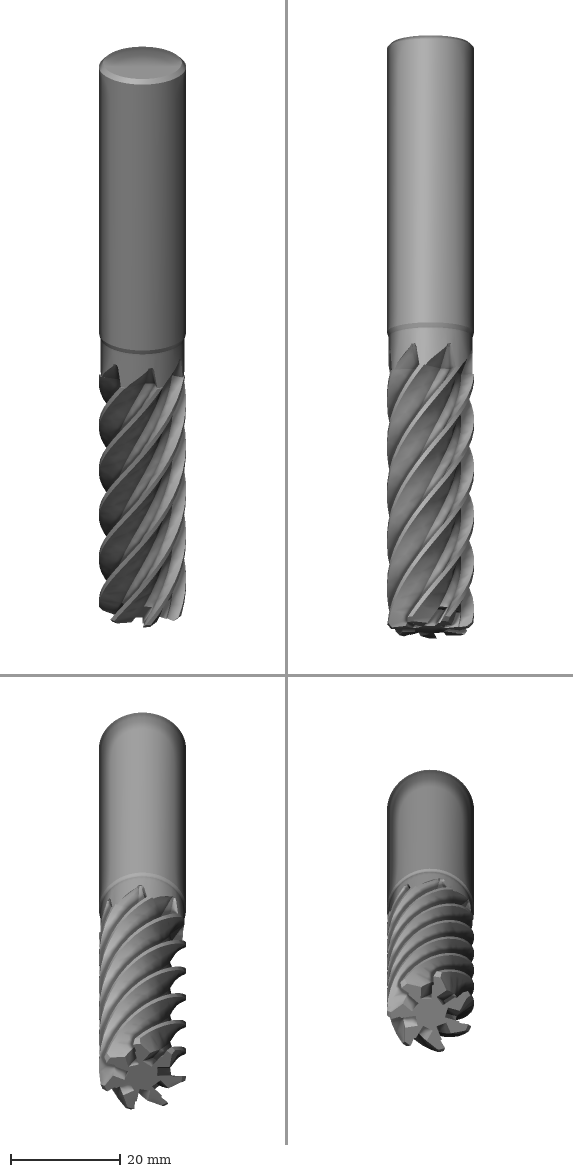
import cadquery as cq
import math

TOTAL_LENGTH = 110.0
DIAMETER = 16.0
RADIUS = DIAMETER / 2

SHANK_CHAMFER = 0.8
NECK_DIAMETER = 15.4
NECK_RADIUS = NECK_DIAMETER / 2
NECK_TOP = 55.0
NECK_CONE_HEIGHT = 0.9

CUTTER_LENGTH = 48.0
TOOTH_COUNT = 7
TOOTH_PITCH = 360 / TOOTH_COUNT
HELIX_LEAD = 62.2
TWIST_PER_LENGTH = 360 / HELIX_LEAD
FIRST_EDGE_ANGLE = 28.5
CORNER_CHAMFER = 0.8

LAND_ANGLE = 7.0
CORE_RADIUS = 5.1
CORE_ANGLE = 15.0
RAKE_RADIUS = 5.6
RAKE_ANGLE = -3.0

RUNOUT_LENGTH = 4.2
RUNOUT_TIP_LENGTH = 0.5
RUNOUT_CENTER_ANGLE = 9.0
RUNOUT_WIDTH_ANGLE = 9.5
RUNOUT_DEPTH = 0.5
RUNOUT_TIP_WIDTH_ANGLE = 5.5
RUNOUT_TIP_DEPTH = 0.2
OPEN_RADIUS = RADIUS + 0.5

GASH_DEPTH = 3.2
GASH_MOUTH_WIDTH = 2.0
GASH_FLOOR_WIDTH = 1.5
GASH_LEAN_RADIUS = 5.5
GASH_INNER_RADIUS = 2.8


def polar(radius, angle):
    """Point at a radius and an angle in degrees."""
    turn = math.radians(angle)
    return radius * math.cos(turn), radius * math.sin(turn)


def edge_angle(tooth, height):
    """Angle of a tooth's cutting edge at a height above the tip."""
    return FIRST_EDGE_ANGLE + tooth * TOOTH_PITCH + height * TWIST_PER_LENGTH


def make_cutter_blank():
    """Twisted toothed bar: each tooth has a land, a straight back, a flute floor and a rake face."""
    outline = cq.Workplane("XY").moveTo(*polar(RADIUS, edge_angle(0, 0)))
    for tooth in range(TOOTH_COUNT):
        edge = edge_angle(tooth, 0)
        next_edge = edge + TOOTH_PITCH
        outline = (
            outline.threePointArc(polar(RADIUS, edge + LAND_ANGLE / 2), polar(RADIUS, edge + LAND_ANGLE))
            .lineTo(*polar(CORE_RADIUS, next_edge - CORE_ANGLE))
            .lineTo(*polar(RAKE_RADIUS, next_edge - RAKE_ANGLE))
            .lineTo(*polar(RADIUS, next_edge))
        )
    return outline.close().twistExtrude(CUTTER_LENGTH, CUTTER_LENGTH * TWIST_PER_LENGTH)


def make_corner_ring():
    """Ring outside the chamfered corner of the tip."""
    return (
        cq.Workplane("XZ")
        .moveTo(RADIUS - CORNER_CHAMFER, 0)
        .lineTo(OPEN_RADIUS, -CORNER_CHAMFER)
        .lineTo(OPEN_RADIUS, OPEN_RADIUS - RADIUS + CORNER_CHAMFER)
        .close()
        .revolve(360, (0, 0, 0), (0, 1, 0))
    )


def make_gash(tooth):
    """Radial slot in front of a tooth on the tip, leaning with the helix so that it stays in the flute."""
    lean = GASH_LEAN_RADIUS * math.tan(math.radians(GASH_DEPTH * TWIST_PER_LENGTH))
    return (
        cq.Workplane("YZ", origin=(GASH_INNER_RADIUS, 0, 0))
        .moveTo(0, 0)
        .lineTo(lean, GASH_DEPTH)
        .lineTo(lean - GASH_FLOOR_WIDTH, GASH_DEPTH)
        .lineTo(-GASH_MOUTH_WIDTH, 0)
        .close()
        .extrude(OPEN_RADIUS - GASH_INNER_RADIUS)
        .rotate((0, 0, 0), (0, 0, 1), edge_angle(tooth, 0))
    )


def make_cutter():
    cutter = make_cutter_blank().cut(make_corner_ring())
    for tooth in range(TOOTH_COUNT):
        cutter = cutter.cut(make_gash(tooth))
    return cutter


def runout_section(height, land, core, rake, edge):
    """Open-sided flute section at a height; each argument after it is a (radius, angle) pair."""
    mouth = [(OPEN_RADIUS, edge[1]), (OPEN_RADIUS, land[1])]
    corners = [polar(*corner) for corner in mouth + [land, core, rake, edge]]
    return cq.Wire.makePolygon([cq.Vector(x, y, height) for x, y in corners], close=True)


def narrow_runout_section(height, center, width, depth):
    """Flute section near the end of the run-out, evenly spread about its center angle."""
    floor = NECK_RADIUS - depth
    return runout_section(
        height,
        land=(NECK_RADIUS, center - width / 2),
        core=(floor, center - width / 4),
        rake=(floor, center + width / 4),
        edge=(NECK_RADIUS, center + width / 2),
    )


def make_runout(tooth):
    """Rising end of the flute in front of a tooth."""
    edge = edge_angle(tooth, CUTTER_LENGTH)
    center = edge - RUNOUT_CENTER_ANGLE
    tip_height = CUTTER_LENGTH + RUNOUT_LENGTH
    start = runout_section(
        CUTTER_LENGTH,
        land=(RADIUS, edge - TOOTH_PITCH + LAND_ANGLE),
        core=(CORE_RADIUS, edge - CORE_ANGLE),
        rake=(RAKE_RADIUS, edge - RAKE_ANGLE),
        edge=(RADIUS, edge),
    )
    shoulder = narrow_runout_section(
        tip_height - RUNOUT_TIP_LENGTH, center, RUNOUT_WIDTH_ANGLE, RUNOUT_DEPTH
    )
    tip = narrow_runout_section(tip_height, center, RUNOUT_TIP_WIDTH_ANGLE, RUNOUT_TIP_DEPTH)
    return cq.Solid.makeLoft([start, shoulder, tip], True)


def make_shank():
    shank_start = NECK_TOP + NECK_CONE_HEIGHT
    shank = (
        cq.Workplane("XZ")
        .moveTo(0, CUTTER_LENGTH)
        .lineTo(NECK_RADIUS, CUTTER_LENGTH)
        .lineTo(NECK_RADIUS, NECK_TOP)
        .lineTo(RADIUS, shank_start)
        .lineTo(RADIUS, TOTAL_LENGTH - SHANK_CHAMFER)
        .lineTo(RADIUS - SHANK_CHAMFER, TOTAL_LENGTH)
        .lineTo(0, TOTAL_LENGTH)
        .close()
        .revolve(360, (0, 0, 0), (0, 1, 0))
    )
    for tooth in range(TOOTH_COUNT):
        shank = shank.cut(cq.Workplane(make_runout(tooth)))
    return shank


cutter = make_cutter()
shank = make_shank()

result = cq.Compound.makeCompound([cutter.solids().val(), shank.solids().val()])